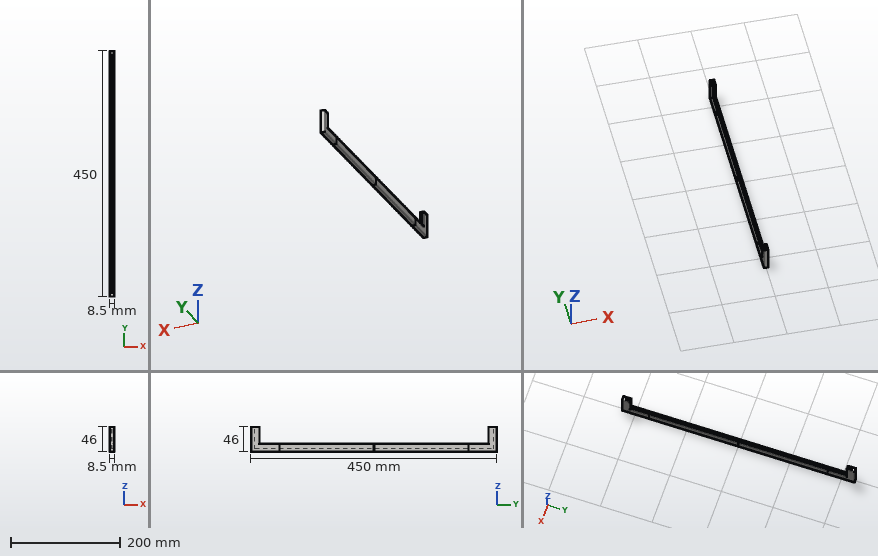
import cadquery as cq

length = 450.0
width = 8.5
height = 46.0
bar_depth = 15.5
edge_radius = 1.0

slot_width = 2.5
slot_floor = 6.5

corner_length = 51.8
middle_gap = 0.23

middle = length / 2


def u_prism(outer_offset, inner_offset, thickness):
    """U-shaped prism, centred on X = 0, between two offsets from the outer side."""
    outline = [
        (outer_offset, outer_offset),
        (length - outer_offset, outer_offset),
        (length - outer_offset, height),
        (length - inner_offset, height),
        (length - inner_offset, inner_offset),
        (inner_offset, inner_offset),
        (inner_offset, height),
        (outer_offset, height),
    ]
    return cq.Workplane("YZ").polyline(outline).close().extrude(thickness / 2, both=True)


def slotted_frame():
    """Whole frame before it is divided: rounded U bar with the inner slot cut out."""
    bar = u_prism(0, bar_depth, width)
    bar = bar.faces("<X or >X").edges().fillet(edge_radius)
    return bar.cut(u_prism(slot_floor, bar_depth, slot_width))


def frame_section(frame, y_start, y_end):
    """Part of the frame that lies between two Y positions."""
    cutter = cq.Workplane("XY").box(width, y_end - y_start, height, centered=(True, False, False))
    return frame.intersect(cutter.translate((0, y_start, 0)))


def corner(frame):
    """L-shaped end with its leg, at the low-Y end."""
    return frame_section(frame, 0, corner_length)


def rail(frame):
    """Straight beam from a corner to the clearance at the middle."""
    return frame_section(frame, corner_length, middle - middle_gap / 2)


def both_halves(piece):
    """The piece and its mirror image about the middle of the frame."""
    return [piece, piece.mirror("XZ", (0, middle, 0))]


frame = slotted_frame()
corners = both_halves(corner(frame))
rails = both_halves(rail(frame))

result = cq.Compound.makeCompound([body.solids().val() for body in corners + rails])